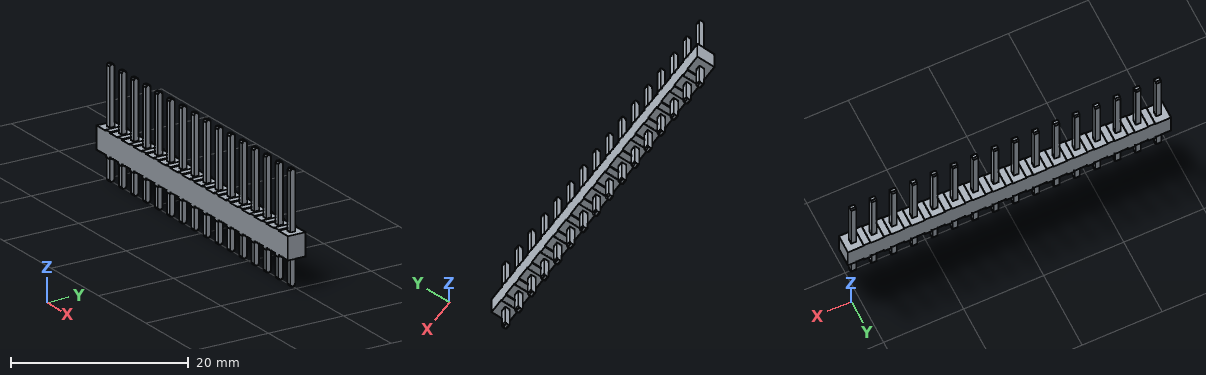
import cadquery as cq

PIN_COUNT = 16
PITCH = 2.54
PIN_SIZE = 0.64
PIN_LENGTH = 14.22
PIN_TAIL = 3.65
TIP_HEIGHT = 0.22
TIP_THICKNESS = 0.34

BAR_LENGTH = 40.4
BAR_DEPTH = 2.36
BAR_HEIGHT = 2.95

RIB_WIDTH = 0.86
TOP_RIB_HEIGHT = 0.12
BOTTOM_RIB_HEIGHT = 0.22


def row_positions(count):
    """X positions of evenly pitched items centred on the origin."""
    return [(i - (count - 1) / 2) * PITCH for i in range(count)]


def make_bar():
    return cq.Workplane("XY").box(BAR_LENGTH, BAR_DEPTH, BAR_HEIGHT, centered=(True, True, False))


def make_rib(x):
    """Block through the bar that stands proud of its top and underside."""
    height = BOTTOM_RIB_HEIGHT + BAR_HEIGHT + TOP_RIB_HEIGHT
    rib = cq.Workplane("XY").box(RIB_WIDTH, BAR_DEPTH, height, centered=(True, True, False))
    return rib.translate((x, 0, -BOTTOM_RIB_HEIGHT))


def make_pin(x):
    """Square pin whose two ends are bevelled on the front and back faces."""
    half_size = PIN_SIZE / 2
    half_tip = TIP_THICKNESS / 2
    bottom = -PIN_TAIL
    top = bottom + PIN_LENGTH
    outline = [
        (-half_tip, bottom),
        (half_tip, bottom),
        (half_size, bottom + TIP_HEIGHT),
        (half_size, top - TIP_HEIGHT),
        (half_tip, top),
        (-half_tip, top),
        (-half_size, top - TIP_HEIGHT),
        (-half_size, bottom + TIP_HEIGHT),
    ]
    pin = cq.Workplane("YZ").polyline(outline).close().extrude(half_size, both=True)
    return pin.translate((x, 0, 0))


result = make_bar()
for rib_x in row_positions(PIN_COUNT - 1):
    result = result.union(make_rib(rib_x))
for pin_x in row_positions(PIN_COUNT):
    result = result.union(make_pin(pin_x))
result = result.clean()